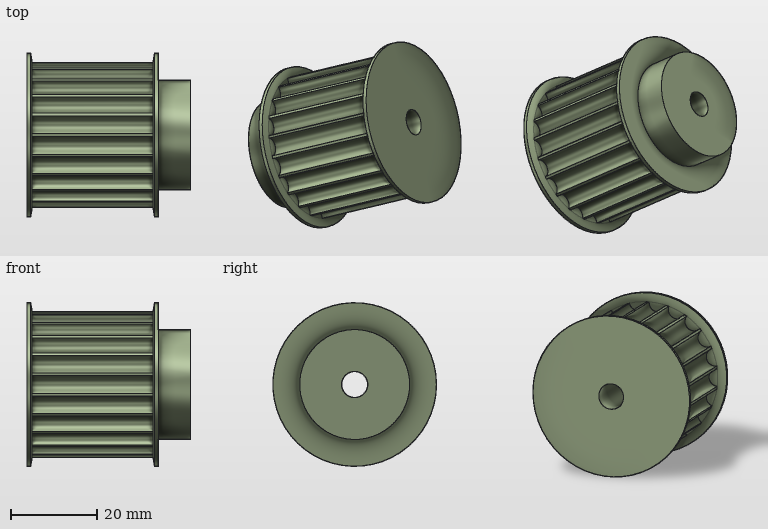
import cadquery as cq
import math

overall_length = 38.0
toothed_width = 28.0
flange_thickness = 1.25
rim_thickness = 0.9
hub_start = 2 * flange_thickness + toothed_width

flange_radius = 38.0 / 2
hub_radius = 25.5 / 2
bore_radius = 6.0 / 2

tooth_count = 22
tooth_pitch = 5.0
pitch_line_offset = 0.5715
groove_depth = 2.1
land_width = 0.64
pitch_radius = tooth_count * tooth_pitch / (2 * math.pi)
tip_radius = pitch_radius - pitch_line_offset
root_radius = tip_radius - groove_depth
pitch_angle = 2 * math.pi / tooth_count
land_angle = land_width / tip_radius


def polar(radius, angle):
    """Point in the YZ plane, with the angle measured from +Y toward +Z."""
    return (radius * math.cos(angle), radius * math.sin(angle))


def toothed_body():
    """Extruded tooth ring: grooves face +Y and -Y, lands face +Z and -Z."""
    half_groove = (pitch_angle - land_angle) / 2
    profile = cq.Workplane("YZ", origin=(flange_thickness, 0, 0)).moveTo(*polar(tip_radius, -half_groove))
    for tooth in range(tooth_count):
        groove_angle = tooth * pitch_angle
        land_start = groove_angle + half_groove
        land_middle = groove_angle + pitch_angle / 2
        land_end = land_start + land_angle
        profile = profile.threePointArc(polar(root_radius, groove_angle), polar(tip_radius, land_start))
        profile = profile.threePointArc(polar(tip_radius, land_middle), polar(tip_radius, land_end))
    return profile.close().extrude(toothed_width)


def flange(outer_face_x, inward):
    """Disc whose inner face tapers from the tooth tips out to a thinner rim.

    inward is +1 or -1, the X direction from the outer face toward the teeth.
    """
    rim_x = outer_face_x + inward * rim_thickness
    inner_face_x = outer_face_x + inward * flange_thickness
    half_section = (
        cq.Workplane("XY")
        .moveTo(outer_face_x, 0)
        .lineTo(outer_face_x, flange_radius)
        .lineTo(rim_x, flange_radius)
        .lineTo(inner_face_x, tip_radius)
        .lineTo(inner_face_x, 0)
        .close()
    )
    return half_section.revolve(360, (0, 0, 0), (1, 0, 0))


def hub():
    """Plain cylindrical hub beyond the second flange."""
    section = cq.Workplane("YZ", origin=(hub_start, 0, 0)).circle(hub_radius)
    return section.extrude(overall_length - hub_start)


def bore():
    """Cylinder that cuts the shaft hole through the full length."""
    return cq.Workplane("YZ").circle(bore_radius).extrude(overall_length)


near_flange = flange(0, 1)
far_flange = flange(hub_start, -1)
pulley = toothed_body().union(near_flange).union(far_flange).union(hub())
result = pulley.cut(bore())